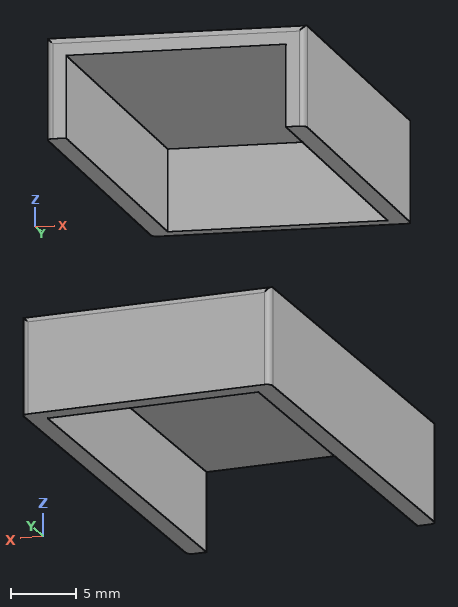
import cadquery as cq

width = 20.45
length = 35.5
height = 8.0

side_wall = 1.55
wall = 1.5
edge_radius = 0.5


def make_body():
    """Block standing on Z = 0 with both ends rounded at the sides and top."""
    block = cq.Workplane("XY").box(width, length, height, centered=(True, True, False))
    end_edges = block.edges("|Z").add(block.faces(">Z").edges("|X"))
    return end_edges.fillet(edge_radius)


def make_cavity():
    """Space open at the front and bottom, closed by the rear wall."""
    return (
        cq.Workplane("XY")
        .box(width - 2 * side_wall, length - wall, height - wall, centered=(True, True, False))
        .translate((0, -wall / 2, 0))
    )


result = make_body().cut(make_cavity())